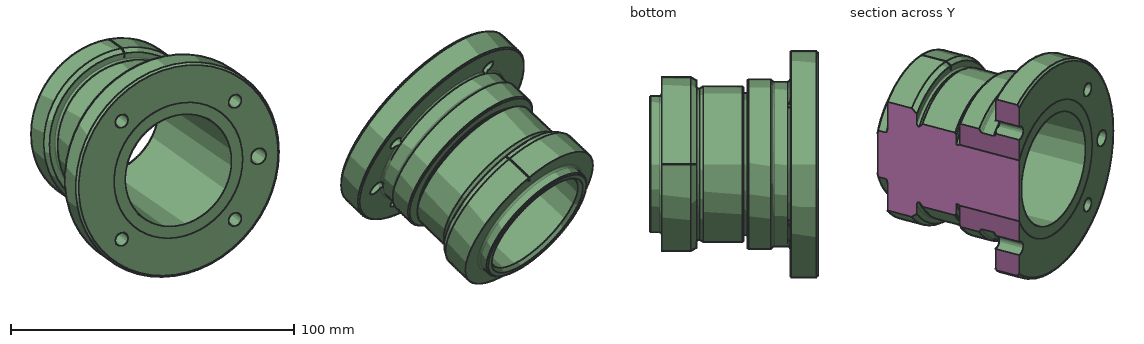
import cadquery as cq
import math

LENGTH = 59.5
FILLET = 0.8
EDGE_CHAMFER = 0.5

BORE_RADIUS = 20.9
BORE_CHAMFER_DEPTH = 1.0
BORE_CHAMFER_LENGTH = 1.4
NOSE_RADIUS = 24.1
RING_RADIUS = 30.7
RING_START = 4.2
RING_END = 16.6
RING_CHAMFER_LENGTH = 2.1
RING_CHAMFER_DEPTH = 1.2
GROOVE_RADIUS = 26.7
GROOVE_END = 17.6
BARREL_RADIUS = 27.5
BARREL_TAPER_LENGTH = 1.4
BARREL_END = 33.1
NECK_RADIUS = 25.1
SLIT_WIDTH = 0.3
SLIT_DEPTH = 2.7

COLLAR_RADIUS = 30.0
COLLAR_START = 34.4
COLLAR_END = 43.4
WAIST_RADIUS = 29.1
FLANGE_RADIUS = 40.0
FLANGE_THICKNESS = 10.0
FLANGE_REAR_CHAMFER = 0.8
FLANGE_START = LENGTH - FLANGE_THICKNESS

BOLT_CIRCLE_RADIUS = 31.5
SCREW_HOLE_RADIUS = 2.5
SCREW_HOLE_ANGLES = (45, 135, 225, 315)
LARGE_HOLE_RADIUS = 3.0
LARGE_HOLE_ANGLE = 0

FLARE_RISE = 0.2
FLARE_ANGLE = math.acos(1 - FLARE_RISE / FILLET)
FLARE_LENGTH = FILLET * math.sin(FLARE_ANGLE)
FLARE_MID_LENGTH = FILLET * math.sin(FLARE_ANGLE / 2)
FLARE_MID_RISE = FILLET * (1 - math.cos(FLARE_ANGLE / 2))

SEAT_RADIUS = NECK_RADIUS + FLARE_RISE

COLLAR_REAR_CHAMFER = COLLAR_RADIUS - WAIST_RADIUS - FLARE_RISE

FILLET_MID = FILLET * (1 - math.sqrt(0.5))


def make_sleeve():
    profile = (
        cq.Workplane("XY")
        .moveTo(0, BORE_RADIUS + BORE_CHAMFER_DEPTH)
        .lineTo(0, NOSE_RADIUS - EDGE_CHAMFER)
        .lineTo(EDGE_CHAMFER, NOSE_RADIUS)
        .lineTo(RING_START - FILLET, NOSE_RADIUS)
        .threePointArc(
            (RING_START - FILLET_MID, NOSE_RADIUS + FILLET_MID),
            (RING_START, NOSE_RADIUS + FILLET),
        )
        .lineTo(RING_START, RING_RADIUS)
        .lineTo(RING_END - RING_CHAMFER_LENGTH, RING_RADIUS)
        .lineTo(RING_END, RING_RADIUS - RING_CHAMFER_DEPTH)
        .lineTo(RING_END, GROOVE_RADIUS + FILLET)
        .threePointArc(
            (RING_END + FILLET_MID, GROOVE_RADIUS + FILLET_MID),
            (RING_END + FILLET, GROOVE_RADIUS),
        )
        .lineTo(GROOVE_END, GROOVE_RADIUS)
        .lineTo(GROOVE_END + BARREL_TAPER_LENGTH, BARREL_RADIUS)
        .lineTo(BARREL_END - EDGE_CHAMFER, BARREL_RADIUS)
        .lineTo(BARREL_END, BARREL_RADIUS - EDGE_CHAMFER)
        .lineTo(BARREL_END, NECK_RADIUS)
        .lineTo(COLLAR_START - FLARE_LENGTH, NECK_RADIUS)
        .threePointArc(
            (COLLAR_START - FLARE_LENGTH + FLARE_MID_LENGTH, NECK_RADIUS + FLARE_MID_RISE),
            (COLLAR_START, SEAT_RADIUS),
        )
        .lineTo(LENGTH, SEAT_RADIUS)
        .lineTo(LENGTH, BORE_RADIUS)
        .lineTo(BORE_CHAMFER_LENGTH, BORE_RADIUS)
        .close()
    )
    sleeve = profile.revolve(360, (0, 0, 0), (1, 0, 0))
    return sleeve.cut(make_ring_slits())


def make_ring_slits():
    """Two narrow slits along the ring, at its top and its bottom."""
    slit_centre_radius = RING_RADIUS - SLIT_DEPTH / 2
    return (
        cq.Workplane("YZ", origin=(RING_START, 0, 0))
        .pushPoints([(0, slit_centre_radius), (0, -slit_centre_radius)])
        .rect(SLIT_WIDTH, SLIT_DEPTH)
        .extrude(RING_END - RING_START)
    )


def make_housing():
    profile = (
        cq.Workplane("XY")
        .moveTo(COLLAR_START, SEAT_RADIUS)
        .lineTo(COLLAR_START, COLLAR_RADIUS - EDGE_CHAMFER)
        .lineTo(COLLAR_START + EDGE_CHAMFER, COLLAR_RADIUS)
        .lineTo(COLLAR_END - COLLAR_REAR_CHAMFER, COLLAR_RADIUS)
        .lineTo(COLLAR_END, WAIST_RADIUS + FLARE_RISE)
        .threePointArc(
            (COLLAR_END + FLARE_LENGTH - FLARE_MID_LENGTH, WAIST_RADIUS + FLARE_MID_RISE),
            (COLLAR_END + FLARE_LENGTH, WAIST_RADIUS),
        )
        .lineTo(FLANGE_START - FILLET, WAIST_RADIUS)
        .threePointArc(
            (FLANGE_START - FILLET_MID, WAIST_RADIUS + FILLET_MID),
            (FLANGE_START, WAIST_RADIUS + FILLET),
        )
        .lineTo(FLANGE_START, FLANGE_RADIUS - EDGE_CHAMFER)
        .lineTo(FLANGE_START + EDGE_CHAMFER, FLANGE_RADIUS)
        .lineTo(LENGTH - FLANGE_REAR_CHAMFER, FLANGE_RADIUS)
        .lineTo(LENGTH, FLANGE_RADIUS - FLANGE_REAR_CHAMFER)
        .lineTo(LENGTH, SEAT_RADIUS)
        .close()
    )
    housing = profile.revolve(360, (0, 0, 0), (1, 0, 0))
    for angle in SCREW_HOLE_ANGLES:
        housing = housing.cut(make_flange_hole(angle, SCREW_HOLE_RADIUS))
    return housing.cut(make_flange_hole(LARGE_HOLE_ANGLE, LARGE_HOLE_RADIUS))


def make_flange_hole(angle, radius):
    """A through-hole cutter on the bolt circle; the angle runs from +Y towards +Z."""
    y = BOLT_CIRCLE_RADIUS * math.cos(math.radians(angle))
    z = BOLT_CIRCLE_RADIUS * math.sin(math.radians(angle))
    cutter_start = FLANGE_START - FILLET
    return (
        cq.Workplane("YZ", origin=(cutter_start, y, z))
        .circle(radius)
        .extrude(LENGTH - cutter_start)
    )


sleeve = make_sleeve()
housing = make_housing()

result = cq.Compound.makeCompound([sleeve.val(), housing.val()])